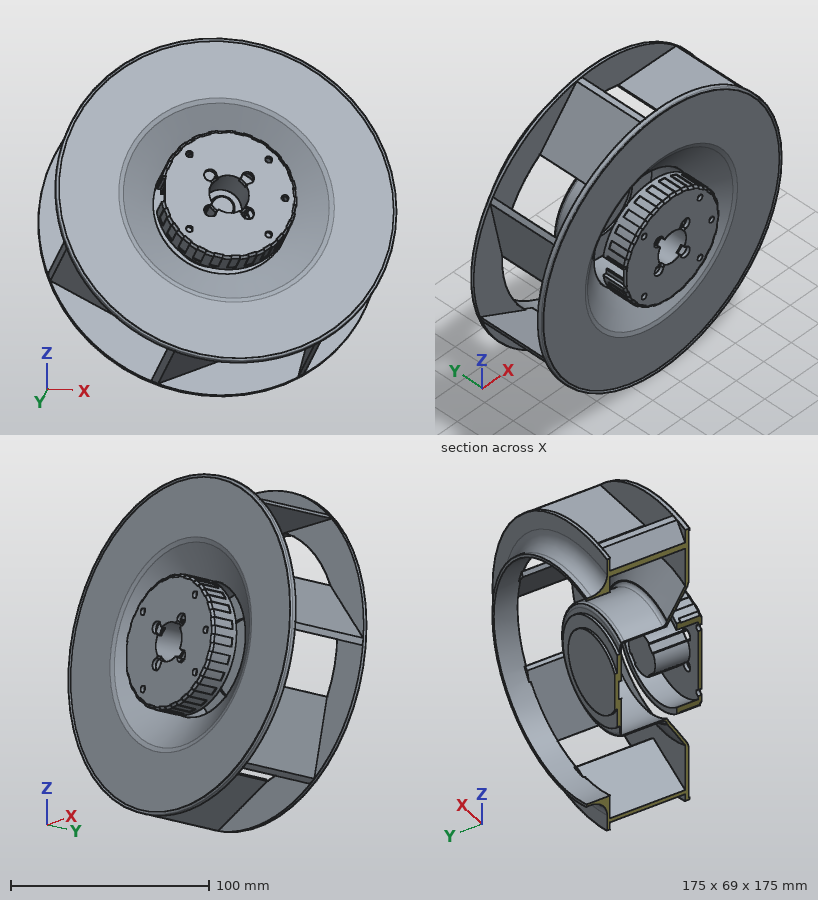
import cadquery as cq
import math


WHEEL_R = 87.5
DISC_BACK_Y = 3.0
RIM_BEAD_R = 0.75
DISC_FRONT_Y = RIM_BEAD_R

SHROUD_FRONT_Y = 47.8
SHROUD_PLATE_THICKNESS = 2.0
SHROUD_PLATE_Y = SHROUD_FRONT_Y + SHROUD_PLATE_THICKNESS
SHROUD_BACK_Y = 62.0
SHROUD_BORE_R = 66.8
LIP_R = 68.5
LIP_LENGTH = 2.8
FLARE_R = SHROUD_BACK_Y - LIP_LENGTH - SHROUD_PLATE_Y

BLADE_COUNT = 7
BLADE_ROOT_SLANT = 1.4
BLADE_TIP_R = WHEEL_R - 0.1
BLADE_EMBED = 1.0
BLADE_THICKNESS = 2.6
BLADE_TIP_ANGLE = 98.3
BLADE_ROOT_ANGLE = 126.1

FUNNEL_MOUTH_R = 55.4
FUNNEL_BEVEL_R = 52.9
FUNNEL_BEVEL_DEPTH = 0.8
FUNNEL_BACK_MOUTH_R = 54.0
FUNNEL_BACK_END_R = 38.0

ROTOR_R = 36.0
ROTOR_BORE_R = 35.1
ROTOR_FRONT_Y = 14.0
ROTOR_FILLET_R = 2.5
ROTOR_SHOULDER_Y = 42.1
ROTOR_CAP_R = 30.5
ROTOR_CAP_Y = 43.8
ROTOR_BOSS_R = 23.3
ROTOR_BOSS_Y = 45.2
ROTOR_FLOOR_Y = 41.0
ROTOR_RECESS_R = 21.0
ROTOR_RECESS_Y = 42.4

STATOR_R = 35.0
STATOR_FRONT_Y = -7.0
STATOR_BACK_Y = 8.2
STATOR_BEVEL_RADIAL = 1.4
STATOR_BEVEL_AXIAL = 1.2
STATOR_PLATE_THICKNESS = 2.3
STATOR_WALL = 3.5
STATOR_INNER_Y = STATOR_FRONT_Y + STATOR_PLATE_THICKNESS

TUBE_BORE_R = 10.2
TUBE_R = 12.5
TUBE_BACK_Y = 16.0
TUBE_FLOOR_Y = 13.0
STUB_R = 6.5
STUB_BEVEL = 0.9
STUB_FRONT_Y = 11.0

GROOVE_COUNT = 24
GROOVE_WIDTH_ANGLE = 7.5
GROOVE_START_ANGLE = 2.1
GROOVE_DEPTH = 0.4
GROOVE_BACK_Y = 5.7

SCREW_HOLE_D = 3.5
SCREW_CIRCLE_R = 28.75
SCREW_ANGLES = (0, 45, 135, 225, 315)

KEYHOLE_R = 3.2
KEYHOLE_CIRCLE_R = 13.6
KEYHOLE_FLAT_R = 11.4
KEYHOLE_SLOT_WIDTH = 4.6
KEYHOLE_ANGLES = (45, 135, 225, 315)

PLATE_FLAT_X = -32.9
WALL_FLAT_X = -32.3
CABLE_FLAT_WIDTH = 12.6
CABLE_NOTCH_WIDTH = 7.2


def revolved(outline, angle=360):
    """Revolve a closed outline of (radius, y) points around the Y axis."""
    return outline.close().revolve(angle, (0, 0), (0, 1))


def cylinder(radius, y_start, y_end, x=0.0, z=0.0):
    """Cylinder along Y."""
    base = cq.Workplane("XZ", origin=(x, y_start, z))
    return base.circle(radius).extrude(y_start - y_end)


def polar(radius, angle):
    """Point (x, z) at an angle measured from +X towards +Z."""
    return radius * math.cos(math.radians(angle)), radius * math.sin(math.radians(angle))


def turned(shape, angle):
    """Turn a shape about the Y axis, from +X towards +Z."""
    return shape.rotate((0, 0, 0), (0, 1, 0), -angle)


def make_rotor_shell():
    """Front disc, funnel and rotor cup as one revolved section."""
    outline = (
        cq.Workplane("XY")
        .moveTo(0, ROTOR_BOSS_Y)
        .lineTo(ROTOR_BOSS_R, ROTOR_BOSS_Y)
        .lineTo(ROTOR_BOSS_R, ROTOR_CAP_Y)
        .lineTo(ROTOR_CAP_R, ROTOR_CAP_Y)
        .lineTo(ROTOR_CAP_R, ROTOR_SHOULDER_Y)
        .lineTo(ROTOR_R - ROTOR_FILLET_R, ROTOR_SHOULDER_Y)
        .radiusArc((ROTOR_R, ROTOR_SHOULDER_Y - ROTOR_FILLET_R), ROTOR_FILLET_R)
        .lineTo(ROTOR_R, ROTOR_FRONT_Y + ROTOR_FILLET_R)
        .radiusArc((ROTOR_R + ROTOR_FILLET_R, ROTOR_FRONT_Y), -ROTOR_FILLET_R)
        .lineTo(FUNNEL_BACK_END_R, ROTOR_FRONT_Y)
        .lineTo(FUNNEL_BACK_MOUTH_R, DISC_BACK_Y)
        .lineTo(WHEEL_R, DISC_BACK_Y)
        .lineTo(WHEEL_R, DISC_FRONT_Y)
        .threePointArc((WHEEL_R - RIM_BEAD_R, 0), (WHEEL_R - 2 * RIM_BEAD_R, DISC_FRONT_Y))
        .lineTo(FUNNEL_MOUTH_R, DISC_FRONT_Y)
        .lineTo(FUNNEL_BEVEL_R, DISC_FRONT_Y + FUNNEL_BEVEL_DEPTH)
        .lineTo(ROTOR_BORE_R, ROTOR_FRONT_Y)
        .lineTo(ROTOR_BORE_R, ROTOR_FLOOR_Y)
        .lineTo(ROTOR_RECESS_R, ROTOR_FLOOR_Y)
        .lineTo(ROTOR_RECESS_R, ROTOR_RECESS_Y)
        .lineTo(0, ROTOR_RECESS_Y)
    )
    return revolved(outline)


def make_shroud():
    """Rear ring with a flared inlet collar."""
    outline = (
        cq.Workplane("XY")
        .moveTo(SHROUD_BORE_R, SHROUD_FRONT_Y)
        .lineTo(WHEEL_R, SHROUD_FRONT_Y)
        .lineTo(WHEEL_R, SHROUD_PLATE_Y)
        .lineTo(LIP_R + FLARE_R, SHROUD_PLATE_Y)
        .radiusArc((LIP_R, SHROUD_PLATE_Y + FLARE_R), FLARE_R)
        .lineTo(LIP_R, SHROUD_BACK_Y)
        .lineTo(SHROUD_BORE_R, SHROUD_BACK_Y)
    )
    return revolved(outline)


def make_blade():
    """Flat backward-leaning blade, trimmed to the wheel rim."""
    tip_x, tip_z = polar(BLADE_TIP_R, BLADE_TIP_ANGLE)
    root_x, root_z = polar(SHROUD_BORE_R, BLADE_ROOT_ANGLE)
    length = math.hypot(tip_x - root_x, tip_z - root_z)
    along_x = (tip_x - root_x) / length
    along_z = (tip_z - root_z) / length
    side_x = along_z * BLADE_THICKNESS
    side_z = -along_x * BLADE_THICKNESS
    overrun = 2 * BLADE_THICKNESS
    far_x = tip_x + along_x * overrun
    far_z = tip_z + along_z * overrun
    front_y = DISC_BACK_Y - BLADE_EMBED
    back_y = SHROUD_FRONT_Y + BLADE_EMBED
    slab = (
        cq.Workplane("XZ", origin=(0, front_y, 0))
        .polyline([
            (root_x, root_z),
            (far_x, far_z),
            (far_x + side_x, far_z + side_z),
            (root_x + side_x + along_x * BLADE_ROOT_SLANT, root_z + side_z + along_z * BLADE_ROOT_SLANT),
        ])
        .close()
        .extrude(front_y - back_y)
    )
    return slab.intersect(cylinder(BLADE_TIP_R, front_y, back_y))


def make_impeller():
    wheel = make_rotor_shell()
    blade = make_blade()
    for index in range(BLADE_COUNT):
        wheel = wheel.union(turned(blade, index * 360 / BLADE_COUNT))
    return wheel.union(make_shroud())


def make_stator_shell():
    """Front plate, rim wall and closed centre tube as one revolved section."""
    outline = (
        cq.Workplane("XY")
        .moveTo(TUBE_BORE_R, STATOR_FRONT_Y)
        .lineTo(STATOR_R - STATOR_BEVEL_RADIAL, STATOR_FRONT_Y)
        .lineTo(STATOR_R, STATOR_FRONT_Y + STATOR_BEVEL_AXIAL)
        .lineTo(STATOR_R, STATOR_BACK_Y)
        .lineTo(STATOR_R - STATOR_WALL, STATOR_BACK_Y)
        .lineTo(STATOR_R - STATOR_WALL, STATOR_INNER_Y)
        .lineTo(TUBE_R, STATOR_INNER_Y)
        .lineTo(TUBE_R, TUBE_BACK_Y)
        .lineTo(0, TUBE_BACK_Y)
        .lineTo(0, STUB_FRONT_Y)
        .lineTo(STUB_R - STUB_BEVEL, STUB_FRONT_Y)
        .lineTo(STUB_R, STUB_FRONT_Y + STUB_BEVEL)
        .lineTo(STUB_R, TUBE_FLOOR_Y)
        .lineTo(TUBE_BORE_R, TUBE_FLOOR_Y)
    )
    return revolved(outline)


def make_groove():
    """Shallow rim groove that follows the bevel and runs out at the front face."""
    floor_r = STATOR_R - GROOVE_DEPTH
    clear_r = STATOR_R + GROOVE_DEPTH
    outline = (
        cq.Workplane("XY")
        .moveTo(floor_r - STATOR_BEVEL_RADIAL, STATOR_FRONT_Y)
        .lineTo(floor_r, STATOR_FRONT_Y + STATOR_BEVEL_AXIAL)
        .lineTo(floor_r, GROOVE_BACK_Y)
        .lineTo(clear_r, GROOVE_BACK_Y)
        .lineTo(clear_r, STATOR_FRONT_Y)
    )
    groove = revolved(outline, GROOVE_WIDTH_ANGLE)
    return turned(groove, GROOVE_WIDTH_ANGLE + GROOVE_START_ANGLE)


def block(x_start, x_end, y_start, y_end, width):
    """Box between the given X and Y limits, centred on Z = 0."""
    box = cq.Workplane("XY").box(x_end - x_start, y_end - y_start, width, centered=(False, False, True))
    return box.translate((x_start, y_start, 0))


def make_keyhole():
    """Flat-sided round hole on the +X axis, joined to the bore by a slot as deep as the plate."""
    hole = cylinder(KEYHOLE_R, STATOR_FRONT_Y, TUBE_BACK_Y, x=KEYHOLE_CIRCLE_R)
    outer_x = KEYHOLE_CIRCLE_R + KEYHOLE_R
    keep = block(KEYHOLE_FLAT_R, outer_x, STATOR_FRONT_Y, TUBE_BACK_Y, 2 * KEYHOLE_R)
    slot = block(TUBE_BORE_R / 2, KEYHOLE_CIRCLE_R, STATOR_FRONT_Y, STATOR_INNER_Y, KEYHOLE_SLOT_WIDTH)
    return hole.intersect(keep).union(slot)


def make_cable_cut():
    """Flats on the -X side of the plate and rim wall, with a notch through the wall."""
    plate_flat = block(-STATOR_R, PLATE_FLAT_X, STATOR_FRONT_Y, STATOR_INNER_Y, CABLE_FLAT_WIDTH)
    wall_flat = block(-STATOR_R, WALL_FLAT_X, STATOR_INNER_Y, STATOR_BACK_Y, CABLE_FLAT_WIDTH)
    notch_x = -STATOR_R + 2 * STATOR_WALL
    notch = block(-STATOR_R, notch_x, STATOR_INNER_Y, STATOR_BACK_Y, CABLE_NOTCH_WIDTH)
    return plate_flat.union(wall_flat).union(notch)


def make_stator():
    stator = make_stator_shell()
    groove = make_groove()
    for index in range(GROOVE_COUNT):
        stator = stator.cut(turned(groove, index * 360 / GROOVE_COUNT))
    for angle in SCREW_ANGLES:
        x, z = polar(SCREW_CIRCLE_R, angle)
        stator = stator.cut(cylinder(SCREW_HOLE_D / 2, STATOR_FRONT_Y, STATOR_INNER_Y, x, z))
    keyhole = make_keyhole()
    for angle in KEYHOLE_ANGLES:
        stator = stator.cut(turned(keyhole, angle))
    return stator.cut(make_cable_cut())


impeller = make_impeller()
stator = make_stator()
result = cq.Compound.makeCompound([impeller.val(), stator.val()])